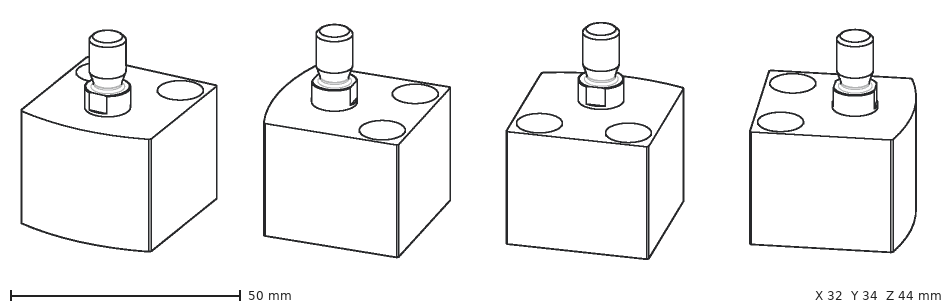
import cadquery as cq
import math

total_height = 44.0
housing_width = 32.0
housing_depth = 33.95
housing_height = 27.0

back_y = 21.0
front_y = back_y - housing_depth
front_arc_radius = 50.0
corner_chamfer = 0.35

hole_x = 10.0
hole_y = back_y - 6.0
hole_diameter = 5.5
counterbore_diameter = 10.0
counterbore_depth = 5.7

collar_radius = 10.0 / 2
collar_top = housing_height + 5.0
collar_chamfer_width = 0.2
collar_chamfer_height = 0.15
flat_spacing = 9.0
flat_bottom = housing_height + 0.75
neck_radius = 6.2 / 2
neck_fillet = 0.55
taper_blend_radius = 0.5
stud_radius = 8.0 / 2
stud_bottom = total_height - 8.3
stud_chamfer = 0.75
taper_angle = 19.0


def make_housing():
    """Block with a bowed front face and two counterbored through holes."""
    half_width = housing_width / 2
    front_sag = front_arc_radius - math.sqrt(front_arc_radius**2 - half_width**2)
    front_corner_y = front_y + front_sag
    block = (
        cq.Workplane("XY")
        .moveTo(-half_width, back_y)
        .lineTo(-half_width, front_corner_y)
        .threePointArc((0, front_y), (half_width, front_corner_y))
        .lineTo(half_width, back_y)
        .close()
        .extrude(housing_height)
        .edges("|Z")
        .chamfer(corner_chamfer)
    )
    return (
        block.faces(">Z")
        .workplane(origin=(0, 0, housing_height))
        .pushPoints([(-hole_x, hole_y), (hole_x, hole_y)])
        .cboreHole(hole_diameter, counterbore_diameter, counterbore_depth)
    )


def make_rod():
    """Turned rod standing on the housing: collar, filleted neck, taper and chamfered stud."""
    taper = math.radians(taper_angle)
    neck_top = stud_bottom - (stud_radius - neck_radius) / math.tan(taper)
    blend_length = taper_blend_radius * math.tan(taper / 2)
    blend_mid_rise = taper_blend_radius * (1 - math.cos(taper / 2))
    blend_mid_height = taper_blend_radius * math.sin(taper / 2)
    blend_end_rise = taper_blend_radius * (1 - math.cos(taper))
    blend_end_height = taper_blend_radius * math.sin(taper)
    fillet_mid = neck_fillet * (1 - math.sqrt(0.5))
    rod = (
        cq.Workplane("XZ")
        .moveTo(0, housing_height)
        .lineTo(collar_radius, housing_height)
        .lineTo(collar_radius, collar_top - collar_chamfer_height)
        .lineTo(collar_radius - collar_chamfer_width, collar_top)
        .lineTo(neck_radius + neck_fillet, collar_top)
        .threePointArc(
            (neck_radius + fillet_mid, collar_top + fillet_mid),
            (neck_radius, collar_top + neck_fillet),
        )
        .lineTo(neck_radius, neck_top - blend_length)
        .threePointArc(
            (neck_radius + blend_mid_rise, neck_top - blend_length + blend_mid_height),
            (neck_radius + blend_end_rise, neck_top - blend_length + blend_end_height),
        )
        .lineTo(stud_radius, stud_bottom)
        .lineTo(stud_radius, total_height - stud_chamfer)
        .lineTo(stud_radius - stud_chamfer, total_height)
        .lineTo(0, total_height)
        .close()
        .revolve(360, (0, 0, 0), (0, 1, 0))
    )
    return cut_wrench_flats(rod)


def cut_wrench_flats(rod):
    """Cut two parallel flats, front and back, in the collar above its base."""
    flat_height = collar_top - flat_bottom
    cutter_width = 2 * collar_radius
    cutter_depth = collar_radius
    for side in (-1, 1):
        cutter = (
            cq.Workplane("XY", origin=(0, side * (flat_spacing + cutter_depth) / 2, flat_bottom))
            .box(cutter_width, cutter_depth, flat_height, centered=(True, True, False))
        )
        rod = rod.cut(cutter)
    return rod


housing = make_housing()
rod = make_rod()
result = cq.Compound.makeCompound([housing.val(), rod.val()])